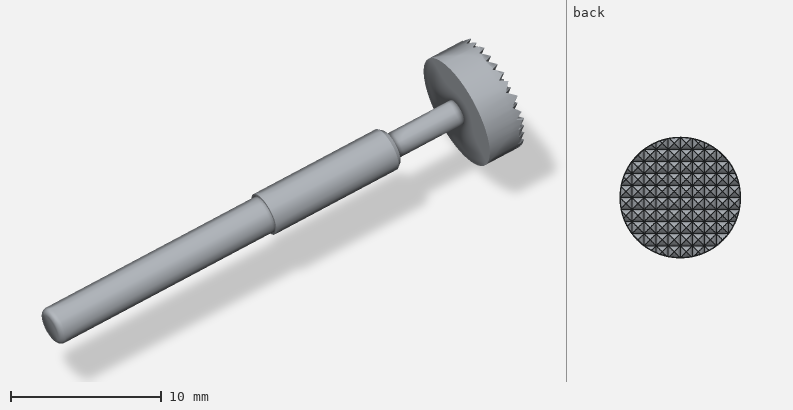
import cadquery as cq
import math

total_length = 35.3

head_diameter = 8.0
head_length = 3.0

neck_diameter = 1.8
neck_length = 5.3

collar_diameter = 3.05
collar_length = 10.03
collar_chamfer_length = 0.32
collar_chamfer_depth = 0.25

barrel_diameter = 2.65
barrel_end_radius = 0.4

teeth_across = 10
groove_angle = 60.0

head_back = total_length - head_length
collar_front = head_back - neck_length
collar_back = collar_front - collar_length

tooth_pitch = head_diameter / teeth_across
groove_half_width = tooth_pitch / 2
groove_depth = groove_half_width / math.tan(math.radians(groove_angle / 2))


def make_shaft():
    """Revolve the barrel, collar, neck and plain head about the Y axis."""
    barrel_radius = barrel_diameter / 2
    collar_radius = collar_diameter / 2
    neck_radius = neck_diameter / 2
    head_radius = head_diameter / 2
    collar_tip_radius = collar_radius - collar_chamfer_depth
    end_face_radius = barrel_radius - barrel_end_radius
    arc_offset = barrel_end_radius * math.sin(math.radians(45))

    return (
        cq.Workplane("XY")
        .lineTo(end_face_radius, 0)
        .threePointArc(
            (end_face_radius + arc_offset, barrel_end_radius - arc_offset),
            (barrel_radius, barrel_end_radius),
        )
        .lineTo(barrel_radius, collar_back)
        .lineTo(collar_radius, collar_back)
        .lineTo(collar_radius, collar_front - collar_chamfer_length)
        .lineTo(collar_tip_radius, collar_front)
        .lineTo(neck_radius, collar_front)
        .lineTo(neck_radius, head_back)
        .lineTo(head_radius, head_back)
        .lineTo(head_radius, total_length)
        .lineTo(0, total_length)
        .close()
        .revolve(360, (0, 0, 0), (0, 1, 0))
    )


def make_groove(centre_x):
    """Make one V groove cutter running along Z across the head face."""
    return (
        cq.Workplane("XY")
        .moveTo(centre_x, total_length - groove_depth)
        .lineTo(centre_x + groove_half_width, total_length)
        .lineTo(centre_x - groove_half_width, total_length)
        .close()
        .extrude(head_diameter, both=True)
    )


def cut_teeth(body):
    """Cross two sets of touching grooves at right angles to leave pyramid teeth."""
    for index in range(teeth_across + 1):
        groove = make_groove((index - teeth_across / 2) * tooth_pitch)
        body = body.cut(groove)
        body = body.cut(groove.rotate((0, 0, 0), (0, 1, 0), 90))
    return body


result = cut_teeth(make_shaft())